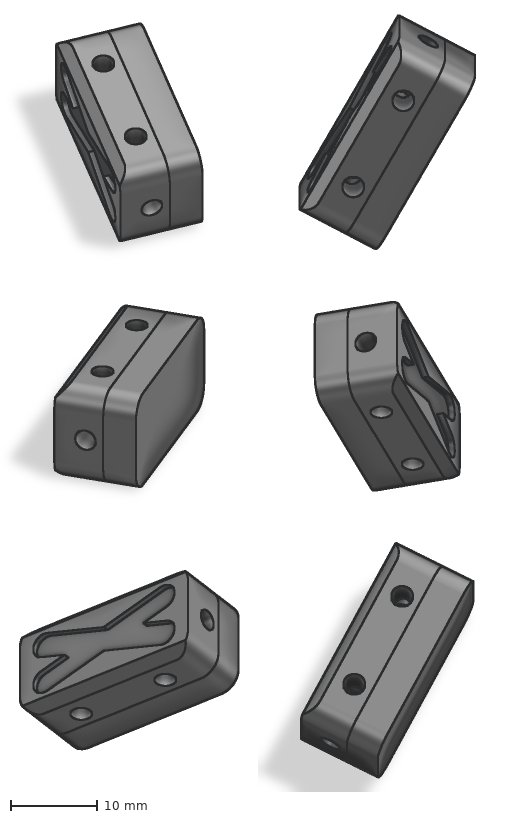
import cadquery as cq
import math

length = 24.0
height = length / 2
depth = length * 5 / 12
corner_radius = length * 5 / 48

block_depth = length / 4
plate_depth = depth - block_depth
front_chamfer = corner_radius / 2

hole_diameter = corner_radius
hole_radius = hole_diameter / 2
hole_inset = length / 4
hole_y = 3.82
side_hole_depth = 7.08
drill_tip_angle = 118.0
drill_tip_length = hole_radius / math.tan(math.radians(drill_tip_angle / 2))

recess_depth = 0.75
slot_radius = 1.58
slot_end_x = 8.5
slot_end_z = 2.5
slot_angle = math.degrees(math.atan2(slot_end_z, slot_end_x))
slot_length = 2 * (math.hypot(slot_end_x, slot_end_z) + slot_radius)


def rounded_bar(front_y, thickness):
    """Bar with rounded X-Z corners, running from front_y towards +Y."""
    return (
        cq.Workplane("XZ", origin=(length / 2, front_y, height / 2))
        .rect(length, height)
        .extrude(-thickness)
        .edges("|Y")
        .fillet(corner_radius)
    )


def edge_wedge():
    """Full-length triangular prism that bevels the top front edge."""
    return (
        cq.Workplane("YZ")
        .moveTo(0, height)
        .lineTo(front_chamfer, height)
        .lineTo(0, height - front_chamfer)
        .close()
        .extrude(length)
    )


def vertical_hole(x):
    """Hole through the full height."""
    return cq.Workplane("XY", origin=(x, hole_y, 0)).circle(hole_radius).extrude(height)


def side_hole():
    """Blind drilled hole from the -X end, with a conical tip."""
    return (
        cq.Workplane("XY", origin=(0, hole_y, height / 2))
        .lineTo(side_hole_depth + drill_tip_length, 0)
        .lineTo(side_hole_depth, hole_radius)
        .lineTo(0, hole_radius)
        .close()
        .revolve(360, (0, 0, 0), (1, 0, 0))
    )


def recess_slot(angle):
    """One arm of the crossed recess, tilted about the middle of the face."""
    return (
        cq.Workplane("XZ", origin=(length / 2, 0, height / 2))
        .slot2D(slot_length, 2 * slot_radius, angle)
        .extrude(-recess_depth)
    )


def make_front_block():
    block = rounded_bar(0, block_depth)

    top_wedge = edge_wedge()
    bottom_wedge = top_wedge.mirror("XY", (0, 0, height / 2))
    block = block.cut(top_wedge).cut(bottom_wedge)

    for x in (hole_inset, length - hole_inset):
        block = block.cut(vertical_hole(x))

    left_hole = side_hole()
    right_hole = left_hole.mirror("YZ", (length / 2, 0, 0))
    block = block.cut(left_hole).cut(right_hole)

    for angle in (slot_angle, -slot_angle):
        block = block.cut(recess_slot(angle))
    return block


def make_back_plate():
    return rounded_bar(block_depth, plate_depth)


front_block = make_front_block()
back_plate = make_back_plate()

result = cq.Compound.makeCompound([front_block.val(), back_plate.val()])